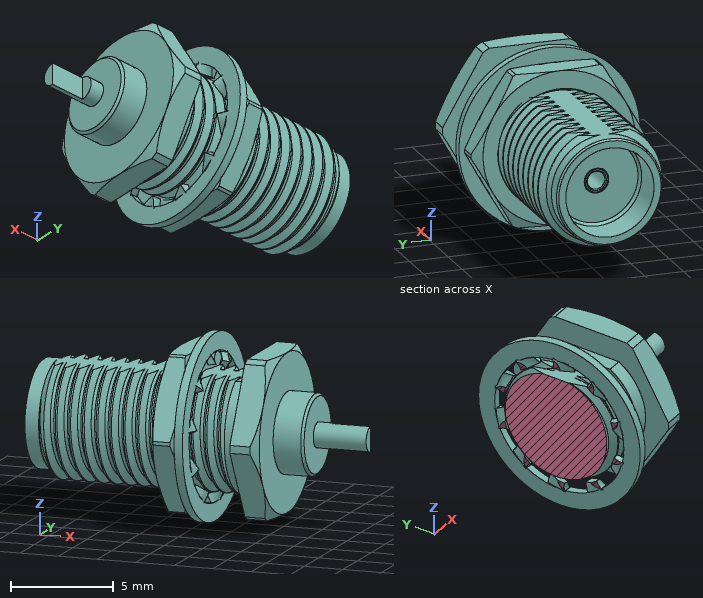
import cadquery as cq
import math


overall_length = 17.0
lip_length = 0.8
thread_end = 10.58
flange_front = 11.36
flange_rear = 12.7
barrel_end = 14.26
cup_cut_start = 15.06
nut_front = 7.16
nut_rear = 8.45
washer_front = 8.54
washer_rear = 8.97

thread_radius = 6.35 / 2
pitch = 25.4 / 36
flank_angle = math.radians(30)
crest_width = pitch / 8
root_width = pitch / 4
thread_depth = (pitch - crest_width - root_width) / (2 * math.tan(flank_angle))
root_radius = thread_radius - thread_depth
first_groove_x = 0.285
runout_taper = 0.43

lip_radius = 2.74
lip_chamfer = 0.09
flat_height = 2.73
flange_across_flats = 8.0
barrel_radius = 4.1 / 2
barrel_chamfer = 0.13
pin_radius = 1.27 / 2

socket_radius = 4.57 / 2
socket_floor_radius = 2.15
socket_depth = 1.9
socket_taper = 0.15
insulator_hole_radius = 1.27 / 2
contact_radius = 1.17 / 2
contact_mouth_radius = 1.02 / 2
contact_bore_radius = 0.91 / 2
contact_taper = 0.06
contact_depth = 2.0

nut_across_flats = 7.9
corner_radius = 4.51
nut_countersink_radius = 3.025
chamfer_angle_nut = math.radians(20)
chamfer_angle_flange = math.radians(30)

washer_radius = 9.4 / 2
tooth_root_radius = 3.75
tooth_tip_radius = 3.25
tooth_overlap = 0.1
tooth_count = 10
tooth_width = 1.1
tooth_twist = 28
first_tooth_angle = 2.5
tooth_thickness = 0.387


def disc(x_start, x_end, radius):
    """Cylinder on the X axis."""
    return cq.Workplane("YZ", origin=(x_start, 0, 0)).circle(radius).extrude(x_end - x_start)


def cone(x_start, x_end, radius_start, radius_end):
    """Truncated cone on the X axis."""
    profile = [(x_start, 0), (x_end, 0), (x_end, radius_end), (x_start, radius_start)]
    return cq.Workplane("XY").polyline(profile).close().revolve(360, (0, 0, 0), (1, 0, 0))


def hexagon(x_start, x_end, across_flats, chamfer_angle, chamfer_front):
    """Hexagonal prism with flats facing +-Z, trimmed corners and conical edge chamfers."""
    corner_to_corner = across_flats / math.cos(math.pi / 6)
    plane = cq.Workplane("YZ", origin=(x_start, 0, 0))
    prism = plane.polygon(6, corner_to_corner).extrude(x_end - x_start)
    face_radius = across_flats / 2
    drop = (corner_radius - face_radius) * math.tan(chamfer_angle)
    outline = [(x_start, 0)]
    if chamfer_front:
        outline += [(x_start, face_radius), (x_start + drop, corner_radius)]
    else:
        outline += [(x_start, corner_radius)]
    outline += [(x_end - drop, corner_radius), (x_end, face_radius), (x_end, 0)]
    envelope = cq.Workplane("XY").polyline(outline).close().revolve(360, (0, 0, 0), (1, 0, 0))
    return prism.intersect(envelope)


def thread_groove():
    """Right-hand helical groove from ahead of the thread to beyond its end."""
    length = thread_end + pitch - first_groove_x
    overshoot = 0.1
    mouth_half = root_width / 2 + (thread_depth + overshoot) * math.tan(flank_angle)
    outer = thread_radius + overshoot
    profile = [
        (root_radius, -root_width / 2),
        (outer, -mouth_half),
        (outer, mouth_half),
        (root_radius, root_width / 2),
    ]
    helix = cq.Workplane(cq.Wire.makeHelix(pitch, length, root_radius))
    groove = cq.Workplane("XZ").polyline(profile).close().sweep(helix, isFrenet=True)
    return groove.rotate((0, 0, 0), (0, 1, 0), 90).translate((first_groove_x, 0, 0))


def threaded_rod():
    """Threaded length of the housing, tapered down to the lip at its front end."""
    rod = disc(lip_length, thread_end, thread_radius).cut(thread_groove())
    taper_end = lip_length + runout_taper
    taper_waste = disc(lip_length, taper_end, thread_radius + runout_taper)
    taper_waste = taper_waste.cut(cone(lip_length, taper_end, lip_radius, thread_radius))
    return rod.cut(taper_waste)


def contact_socket():
    """Mating socket, the ring gap round the contact and the contact's bore."""
    gap = disc(socket_depth, socket_depth + contact_depth, insulator_hole_radius)
    gap = gap.cut(disc(socket_depth, socket_depth + contact_depth, contact_radius))
    mouth = cone(socket_depth, socket_depth + contact_taper, contact_mouth_radius, contact_bore_radius)
    bore = disc(socket_depth, socket_depth + contact_depth, contact_bore_radius)
    straight_end = socket_depth - socket_taper
    recess = disc(0, straight_end, socket_radius)
    recess = recess.union(cone(straight_end, socket_depth, socket_radius, socket_floor_radius))
    return recess.union(gap).union(mouth).union(bore)


def make_housing(rod):
    lip = disc(0, lip_length, lip_radius).faces("<X").chamfer(lip_chamfer)
    collar = disc(thread_end, flange_front, thread_radius)
    front = lip.union(rod).union(collar)
    flat_cut = cq.Workplane("XY", origin=(0, 0, flat_height)).rect(
        2 * flange_front, 2 * thread_radius).extrude(thread_radius)
    front = front.cut(flat_cut).cut(contact_socket())
    flange = hexagon(flange_front, flange_rear, flange_across_flats, chamfer_angle_flange, False)
    barrel = disc(flange_rear, barrel_end, barrel_radius).faces(">X").chamfer(barrel_chamfer)
    pin = disc(barrel_end, overall_length, pin_radius)
    cup_cut = cq.Workplane("XY").box(
        overall_length - cup_cut_start, pin_radius, 2 * pin_radius, centered=(False, False, True)
    ).translate((cup_cut_start, 0, 0))
    return front.union(flange).union(barrel).union(pin.cut(cup_cut))


def make_nut(rod):
    """Hexagon nut whose thread matches the rod it is screwed on."""
    nut = hexagon(nut_front, nut_rear, nut_across_flats, chamfer_angle_nut, True)
    sink_depth = nut_countersink_radius - root_radius
    countersink = cone(nut_front, nut_front + sink_depth, nut_countersink_radius, root_radius)
    engaged_thread = rod.intersect(disc(nut_front - pitch, nut_rear + pitch, nut_across_flats / 2))
    return nut.cut(engaged_thread).cut(countersink)


def washer_tooth(angle):
    """Inward tooth that twists from the washer's plane at its root to its tip."""
    middle = (washer_front + washer_rear) / 2
    root = tooth_root_radius + tooth_overlap
    tooth = (
        cq.Workplane("XY", origin=(middle, 0, root))
        .rect(tooth_thickness, tooth_width)
        .workplane(offset=tooth_tip_radius - root)
        .transformed(rotate=(0, 0, tooth_twist))
        .rect(tooth_thickness, tooth_width)
        .loft(ruled=True)
    )
    return tooth.rotate((0, 0, 0), (1, 0, 0), angle)


def make_washer():
    washer = disc(washer_front, washer_rear, washer_radius)
    washer = washer.cut(disc(washer_front, washer_rear, tooth_root_radius))
    for index in range(tooth_count):
        washer = washer.union(washer_tooth(first_tooth_angle + index * 360 / tooth_count))
    washer = washer.cut(disc(nut_front, nut_rear, washer_radius))
    return washer.cut(disc(nut_rear, flange_front, thread_radius))


thread = threaded_rod()
housing = make_housing(thread)
nut = make_nut(thread)
washer = make_washer()

result = cq.Compound.makeCompound([housing.solids().val(), nut.solids().val(), washer.solids().val()])